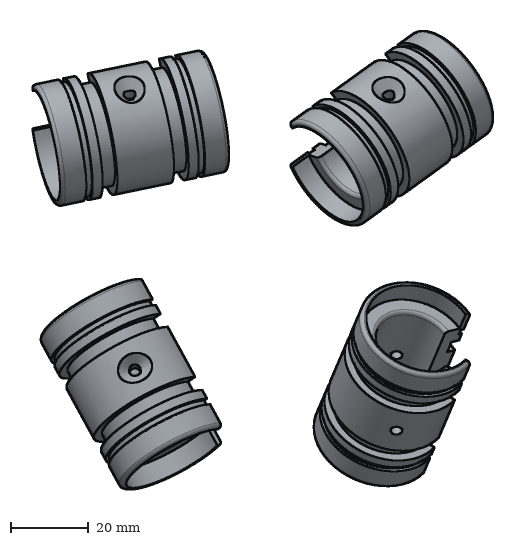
import cadquery as cq
import math

length = 44.79
outer_radius = 15.97
bore_radius = 10.05
end_bore_radius = 14.4
end_bore_depth = 5.7
edge_radius = 1.0

seal_groove_start = 6.6
seal_groove_width = 1.7
seal_groove_radius = 15.05
wide_groove_start = 10.95
wide_groove_width = 3.9
wide_groove_radius = 13.6

gap_half_angle = 30.0
gap_face_offset = 0.71

hole_radius = 1.5
flare_offset = 2.35
flare_overlap = 0.2

half_length = length / 2


def ring_cutter(floor_radius, y_start, width):
    """Ring that cuts an outer groove down to floor_radius."""
    blank_radius = outer_radius + edge_radius
    base = cq.Workplane("XZ", origin=(0, y_start, 0))
    return base.circle(blank_radius).circle(floor_radius).extrude(-width)


def make_sleeve():
    """Sleeve revolved about Y, with rounded outer ends, bore and a counterbore at each end."""
    shoulder_y = half_length - end_bore_depth
    rounding_sagitta = edge_radius * (1 - math.sqrt(0.5))
    shoulder_mid = (bore_radius + rounding_sagitta, shoulder_y - rounding_sagitta)
    rim_mid = (outer_radius - rounding_sagitta, half_length - rounding_sagitta)
    half_section = (
        cq.Workplane("XY")
        .moveTo(-bore_radius, 0)
        .lineTo(-bore_radius, shoulder_y - edge_radius)
        .threePointArc((-shoulder_mid[0], shoulder_mid[1]), (-bore_radius - edge_radius, shoulder_y))
        .lineTo(-end_bore_radius, shoulder_y)
        .lineTo(-end_bore_radius, half_length)
        .lineTo(-outer_radius + edge_radius, half_length)
        .threePointArc((-rim_mid[0], rim_mid[1]), (-outer_radius, half_length - edge_radius))
        .lineTo(-outer_radius, 0)
        .close()
    )
    half_sleeve = half_section.revolve(360, (0, 0, 0), (0, 1, 0))
    return half_sleeve.union(half_sleeve.mirror("XZ")).clean()


def make_flare():
    """Oval funnel between the cross hole and the curved outside.

    The wall and the hole are offset by flare_offset; where the offsets meet sets the flare's edges.
    Lengthwise (Y) the flank is at 45 degrees; across the sleeve (X) it is shallower and wider.
    """
    mouth_half_length = hole_radius + flare_offset
    offset_wall_radius = outer_radius - flare_offset
    low_edge_z = math.sqrt(offset_wall_radius**2 - mouth_half_length**2)
    wall_ratio = outer_radius / offset_wall_radius
    mouth_half_width = mouth_half_length * wall_ratio
    mouth_side_z = low_edge_z * wall_ratio
    slope_across = (mouth_half_width - hole_radius) / (mouth_side_z - low_edge_z)

    def half_axes(z):
        across = hole_radius + slope_across * (z - low_edge_z)
        along = mouth_half_length - (outer_radius - z)
        return across, along

    start_z = low_edge_z - flare_overlap
    return (
        cq.Workplane("XY", origin=(0, 0, start_z))
        .ellipse(*half_axes(start_z))
        .workplane(offset=outer_radius - start_z)
        .ellipse(*half_axes(outer_radius))
        .loft(ruled=True)
    )


def cut_cross_hole(body):
    """Round hole through both walls along Z, flared at its upper mouth."""
    drill = cq.Workplane("XY").circle(hole_radius).extrude(outer_radius, both=True)
    return body.cut(drill).cut(make_flare())


def cut_grooves(body):
    """One narrow and one wide groove near each end."""
    grooves = (
        (seal_groove_start, seal_groove_width, seal_groove_radius),
        (wide_groove_start, wide_groove_width, wide_groove_radius),
    )
    for start, width, floor_radius in grooves:
        for y_start in (-half_length + start, half_length - start - width):
            body = body.cut(ring_cutter(floor_radius, y_start, width))
    return body


def cut_gap(body):
    """Wedge removed along the whole length on the -X side."""
    angle = math.radians(gap_half_angle)
    apex_x = gap_face_offset / math.sin(angle)
    far_x = -2 * outer_radius
    far_z = (apex_x - far_x) * math.tan(angle)
    tip_z = apex_x * math.tan(angle)
    wedge = (
        cq.Workplane("XZ")
        .polyline([(0, tip_z), (far_x, far_z), (far_x, -far_z), (0, -tip_z)])
        .close()
        .extrude(length, both=True)
    )
    return body.cut(wedge)


sleeve = make_sleeve()
sleeve = cut_cross_hole(sleeve)
sleeve = cut_grooves(sleeve)
result = cut_gap(sleeve)